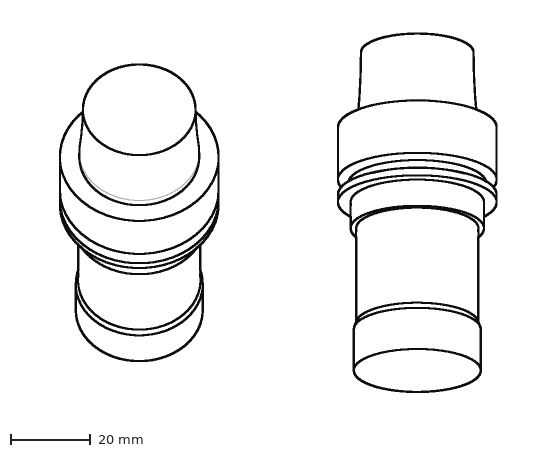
import cadquery as cq

total_length = 85.0

shank_length = 20.0
shank_base_diameter = 30.2
shank_base_length = 2.0
shank_top_diameter = 28.4

flange_diameter = 40.0
flange_length = 20.0
flange_lower_rim = 2.0
groove_diameter = 34.8
groove_floor_width = 2.0
groove_side_height = 1.0

collar_diameter = 33.6
collar_length = 7.0
neck_diameter = 30.8
foot_diameter = 32.0
foot_length = 11.0
foot_taper_height = 1.6

flange_top = total_length - shank_length
flange_bottom = flange_top - flange_length
collar_bottom = flange_bottom - collar_length
flare_bottom = flange_top + shank_base_length
groove_bottom = flange_bottom + flange_lower_rim
groove_floor_bottom = groove_bottom + groove_side_height
groove_floor_top = groove_floor_bottom + groove_floor_width
groove_top = groove_floor_top + groove_side_height


def flare_point(z):
    """Point on the flare: a concave arc that runs parallel to the axis at the shank top."""
    height = total_length - flare_bottom
    spread = (shank_base_diameter - shank_top_diameter) / 2
    arc_radius = (height**2 + spread**2) / (2 * spread)
    drop = total_length - z
    offset = arc_radius - (arc_radius**2 - drop**2) ** 0.5
    return (shank_top_diameter / 2 + offset, z)


def half_profile():
    """Closed outline in the XZ plane: X is the radius, Z the axis."""
    outline = cq.Workplane("XZ").moveTo(0, 0)

    outline = (
        outline.lineTo(foot_diameter / 2, 0)
        .lineTo(foot_diameter / 2, foot_length)
        .lineTo(neck_diameter / 2, foot_length + foot_taper_height)
        .lineTo(neck_diameter / 2, collar_bottom)
        .lineTo(collar_diameter / 2, collar_bottom)
        .lineTo(collar_diameter / 2, flange_bottom)
    )

    outline = (
        outline.lineTo(flange_diameter / 2, flange_bottom)
        .lineTo(flange_diameter / 2, groove_bottom)
        .lineTo(groove_diameter / 2, groove_floor_bottom)
        .lineTo(groove_diameter / 2, groove_floor_top)
        .lineTo(flange_diameter / 2, groove_top)
        .lineTo(flange_diameter / 2, flange_top)
    )

    flare_middle = (flare_bottom + total_length) / 2
    outline = (
        outline.lineTo(shank_base_diameter / 2, flange_top)
        .lineTo(shank_base_diameter / 2, flare_bottom)
        .threePointArc(flare_point(flare_middle), flare_point(total_length))
        .lineTo(0, total_length)
    )
    return outline.close()


result = half_profile().revolve(360, (0, 0, 0), (0, 1, 0))